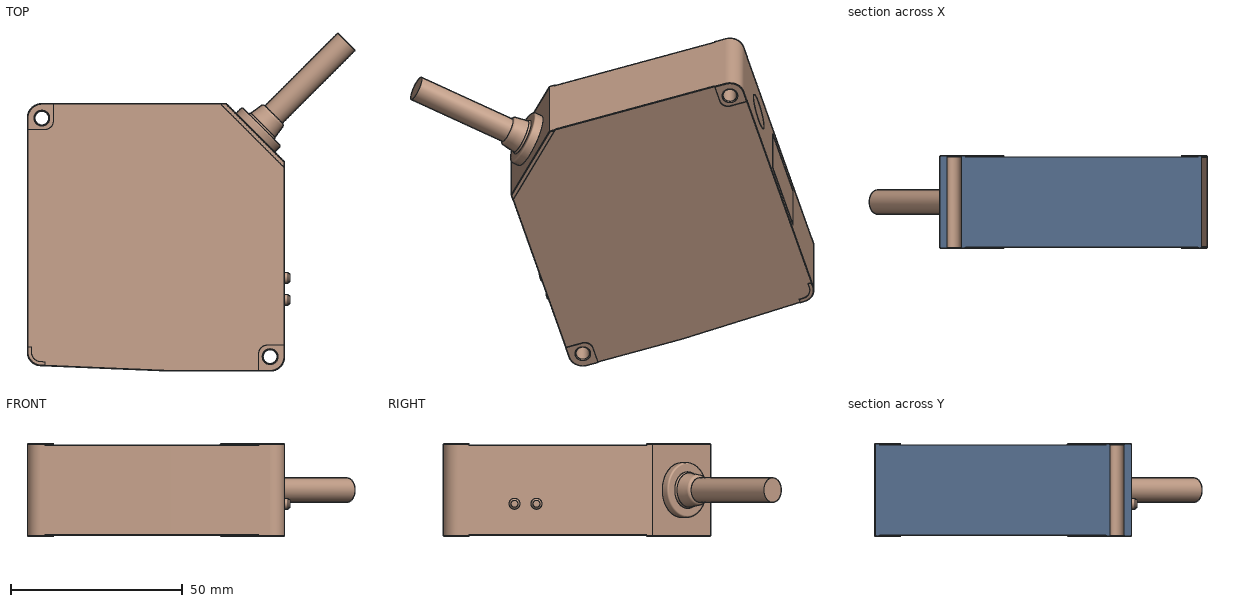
import cadquery as cq
import math

length_x = 75.0
width_y = 78.0
height = 27.0
corner_radius = 4.25
taper_corner_radius = 4.0
taper_start_x = 41.8
taper_rise = 1.75
cable_corner_leg = 17.0

cover_recess = 0.3
edge_bevel = 0.2
pad_size = 7.6
pad_radius = 2.5
cable_land_leg = 18.8
lip_width = 1.2
lip_end_x = 5.2
lip_end_y = 7.0

hole_diameter = 4.0
hole_rim_diameter = 4.6
hole_inset = 4.25

window_depth = 0.1
round_window_diameter = 10.4
round_window_y = 59.0
square_window_size = 20.0
square_window_y = 35.3

lamp_diameter = 3.2
lamp_base_length = 0.9
lamp_tip_diameter = 2.0
lamp_length = 1.6
lamp_z = 9.5
lamp_positions_y = (20.8, 27.2)

embed = 1.0
flange_diameter = 16.0
flange_length = 2.5
flange_rounding = 0.5
collar_diameter = 10.7
collar_length = 0.6
boot_base_diameter = 10.0
boot_tip_diameter = 8.9
boot_length = 7.5
cable_diameter = 7.2
cable_length = 37.5

mid_z = height / 2
hole_centers = (
    (hole_inset, width_y - hole_inset),
    (length_x - hole_inset, hole_inset),
)


def housing_outline(cut_leg):
    """Sharp-cornered plan outline with the given 45 degree corner cut."""
    return cq.Workplane("XY").polyline([
        (0, taper_rise),
        (taper_start_x, 0),
        (length_x, 0),
        (length_x, width_y - cut_leg),
        (length_x - cut_leg, width_y),
        (0, width_y),
    ]).close()


def housing_prism(cut_leg, depth):
    """Extruded housing outline with its three vertical corners rounded."""
    prism = housing_outline(cut_leg).extrude(depth)
    for x, y, radius in (
        (0, taper_rise, taper_corner_radius),
        (length_x, 0, corner_radius),
        (0, width_y, corner_radius),
    ):
        corner = cq.selectors.NearestToPointSelector((x, y, depth / 2))
        prism = prism.edges("|Z").edges(corner).fillet(radius)
    return prism


def corner_pads(depth):
    """Square pads around the mounting holes, rounded on their inner corner."""
    first = (
        cq.Workplane("XY")
        .box(pad_size, pad_size, depth, centered=False)
        .edges("|Z and >X and >Y")
        .fillet(pad_radius)
    )
    lower = first.rotate((0, 0, 0), (0, 0, 1), 90).translate((length_x, 0, 0))
    upper = first.rotate((0, 0, 0), (0, 0, 1), -90).translate((0, width_y, 0))
    return lower.union(upper)


def tapered_corner_lip(depth):
    """Thin raised lip that follows the rounded corner by the tapered side."""
    corner = cq.Workplane("XY").box(lip_end_x, lip_end_y, depth, centered=False)
    inner = housing_prism(cable_corner_leg, depth).faces("<Z").wires().toPending()
    inner = inner.offset2D(-lip_width).extrude(depth, combine=False)
    return corner.cut(inner)


def cover_cutter():
    """Material removed above the +Z cover, including the bevelled edge."""
    cover_depth = 2 * edge_bevel
    depth = cover_recess + cover_depth
    region = housing_prism(cable_land_leg, depth)
    cover = housing_prism(cable_corner_leg, cover_depth).faces(">Z").chamfer(edge_bevel)
    cutter = region.cut(cover).cut(corner_pads(depth)).cut(tapered_corner_lip(depth))
    return cutter.translate((0, 0, height - depth))


def mounting_hole_cutter():
    """Through holes with a small countersink at both ends."""
    rim_depth = (hole_rim_diameter - hole_diameter) / 2
    rim = hole_rim_diameter / 2
    bore = hole_diameter / 2
    profile = cq.Workplane("XZ").polyline([
        (0, 0),
        (rim, 0),
        (bore, rim_depth),
        (bore, height - rim_depth),
        (rim, height),
        (0, height),
    ]).close()
    hole = profile.revolve(360, (0, 0, 0), (0, 1, 0))
    cutter = cq.Workplane("XY")
    for x, y in hole_centers:
        cutter = cutter.union(hole.translate((x, y, 0)))
    return cutter


def window_cutter():
    """Shallow round and square windows in the -X face."""
    round_window = (
        cq.Workplane("YZ", origin=(0, round_window_y, mid_z))
        .circle(round_window_diameter / 2)
        .extrude(window_depth)
    )
    square_window = (
        cq.Workplane("YZ", origin=(0, square_window_y, mid_z))
        .rect(square_window_size, square_window_size)
        .extrude(window_depth)
    )
    return round_window.union(square_window)


def lamps():
    """Bevelled round indicator lamps standing on the +X face."""
    face = cq.Workplane("YZ", origin=(length_x - embed, 0, lamp_z))
    spots = [(y, 0) for y in lamp_positions_y]
    base = face.pushPoints(spots).circle(lamp_diameter / 2).extrude(embed + lamp_length)
    bevel = (lamp_diameter - lamp_tip_diameter) / 2
    return base.faces(">X").chamfer(lamp_length - lamp_base_length, bevel)


def cable_outlet():
    """Flange, collar, tapered boot and cable turned about the outlet axis."""
    flange_radius = flange_diameter / 2
    cable_radius = cable_diameter / 2
    boot_tip_radius = boot_tip_diameter / 2
    tip_rounding = boot_tip_radius - cable_radius
    arc_offset = 1 - math.sqrt(0.5)
    boot_start = flange_length + collar_length
    profile = (
        cq.Workplane("XY")
        .moveTo(-embed, 0)
        .lineTo(-embed, flange_radius)
        .lineTo(flange_length - flange_rounding, flange_radius)
        .threePointArc(
            (flange_length - arc_offset * flange_rounding, flange_radius - arc_offset * flange_rounding),
            (flange_length, flange_radius - flange_rounding),
        )
        .lineTo(flange_length, collar_diameter / 2)
        .lineTo(boot_start, boot_base_diameter / 2)
        .lineTo(boot_length - tip_rounding, boot_tip_radius)
        .threePointArc(
            (boot_length - arc_offset * tip_rounding, boot_tip_radius - arc_offset * tip_rounding),
            (boot_length, cable_radius),
        )
        .lineTo(cable_length, cable_radius)
        .lineTo(cable_length, 0)
        .close()
    )
    turned = profile.revolve(360, (0, 0, 0), (1, 0, 0))
    foot_x = length_x - cable_corner_leg / 2
    foot_y = width_y - cable_corner_leg / 2
    return turned.rotate((0, 0, 0), (0, 0, 1), 45).translate((foot_x, foot_y, mid_z))


upper_cut = cover_cutter()
lower_cut = upper_cut.mirror("XY", (0, 0, mid_z))

result = (
    housing_prism(cable_corner_leg, height)
    .faces("<Z or >Z")
    .chamfer(edge_bevel)
    .cut(upper_cut)
    .cut(lower_cut)
    .cut(mounting_hole_cutter())
    .cut(window_cutter())
    .union(lamps())
    .union(cable_outlet())
)